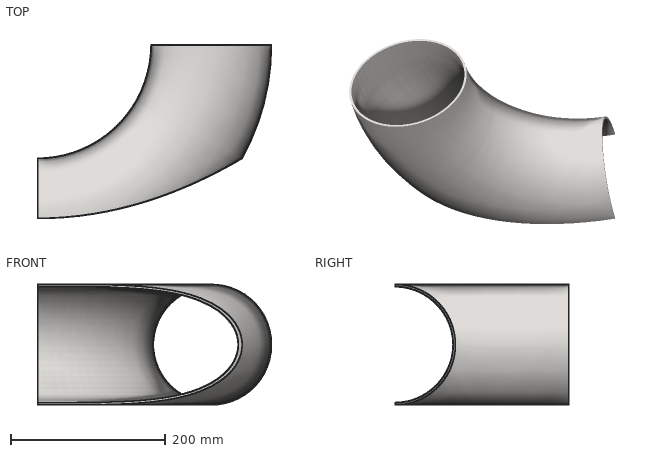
import cadquery as cq

outer_bend_radius = 303.0
pipe_diameter = 156.0
wall = 3.0

pipe_radius = pipe_diameter / 2
bore_radius = pipe_radius - wall
bend_radius = outer_bend_radius - pipe_radius


def quarter_bend():
    """Hollow 90 degree elbow about Z, from the +X axis round to the -Y axis."""
    return (
        cq.Workplane("XZ")
        .center(bend_radius, 0)
        .circle(pipe_radius)
        .circle(bore_radius)
        .revolve(90, (-bend_radius, 0, 0), (-bend_radius, -1, 0))
    )


def kept_side_of_joint():
    """Upright block bounded by the joint with an equal straight pipe along X.

    The bend and a straight pipe that meets it tangentially at X = 0 intersect
    on the parabola y = x^2 / (4 * bend_radius) - bend_radius.
    """
    end_x = outer_bend_radius
    end_y = end_x**2 / (4 * bend_radius) - bend_radius
    joint = [(0, -bend_radius), (end_x / 2, -bend_radius), (end_x, end_y)]
    return (
        cq.Workplane("XY")
        .moveTo(*joint[0])
        .bezier(joint)
        .lineTo(end_x, 0)
        .lineTo(0, 0)
        .close()
        .extrude(pipe_diameter, both=True)
    )


result = quarter_bend().intersect(kept_side_of_joint())